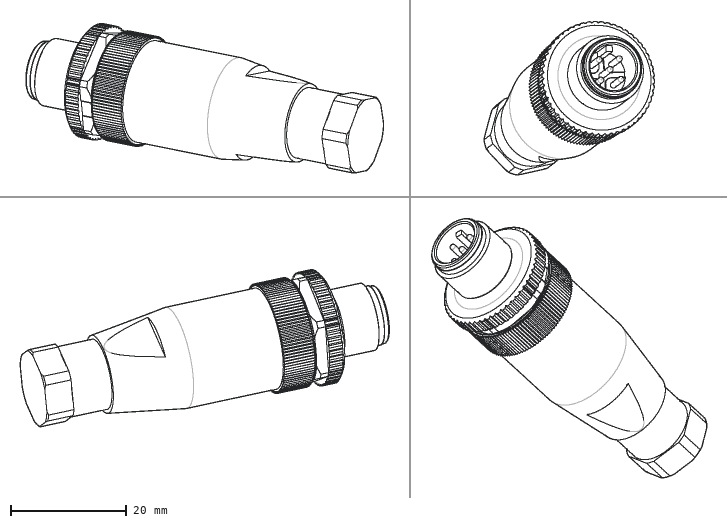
import cadquery as cq
import math

length = 64.1

sleeve_radius = 12.0 / 2
collar_radius = 10.6 / 2
lip_radius = 10.3 / 2
lip_end = 1.0
collar_end = 2.05
sleeve_end = 8.9
edge_chamfer = 0.25
neck_radius = 5.65

bore_radius = 8.3 / 2
bore_depth = 7.7
bore_chamfer = 0.25
carrier_turn = -5.0
pin_radius = 1.0 / 2
pin_circle_radius = 2.55
first_pin_angle = 45.0
pin_start = 1.7
pin_tip_fillet = 0.45
channel_width = 0.95
channel_depth = 0.5
channel_corner_radius = 1.0
key_width = 1.15
key_height = 1.1
key_start = 1.65

nut_start = 9.9
nut_radius = 20.2 / 2
nut_face_radius = 9.3
nut_chamfer_length = 0.65
flare_mid = (9.6, 6.4)
flare_radius = 7.45
flange_end = 12.95
flange_teeth = 54
flange_tooth_depth = 0.25
flange_crest_share = 0.4
nut_hex_end = 15.05
nut_hex_apothem = 8.88
nut_hex_corner_radius = 9.95
nut_hex_chamfer_length = 0.7
nut_hex_chamfer_depth = 0.65
nut_hex_turn = 100.0
mark_width = 3.0
mark_depth = 0.1

gap_radius = 9.15
ring_start = 15.4
ring_end = 21.15
ring_radius = 9.75
ring_teeth = 108
ring_tooth_depth = 0.3
ring_crest_share = 0.0
ring_chamfer = 0.25
body_radius = 18.0 / 2
taper_start = 37.75
taper_end = 51.85
taper_end_radius = 13.9 / 2

flat_start = 42.0
flat_distance = 7.0
flat_turn = 75.0

shank_radius = 12.5 / 2
clamp_start = 59.15
clamp_apothem = 6.5
clamp_corner_radius = 7.05
clamp_chamfer = 0.25
clamp_turn = 105.0

overlap = 0.3


def section_plane(x):
    """Plane across the axis: local x is +Y, local y is +Z, extrusions run toward +X."""
    return cq.Workplane("YZ", origin=(x, 0, 0))


def revolve_about_axis(outline):
    return outline.close().revolve(360, (0, 0, 0), (1, 0, 0))


def lathe(points):
    """Solid of revolution about X from (x, radius) points, closed along the axis."""
    x_first = points[0][0]
    x_last = points[-1][0]
    return revolve_about_axis(cq.Workplane("XY").polyline([(x_first, 0), *points, (x_last, 0)]))


def knurled_bar(start, end, radius, teeth, depth, crest_share):
    """Straight-knurled bar with V grooves; a zero crest share gives sharp teeth."""
    pitch = 2 * math.pi / teeth
    half_crest = crest_share * pitch / 2
    points = []
    for i in range(teeth):
        crest = i * pitch
        corners = [(crest - half_crest, radius)]
        if half_crest > 0:
            corners.append((crest + half_crest, radius))
        corners.append((crest + pitch / 2, radius - depth))
        for angle, r in corners:
            points.append((r * math.cos(angle), r * math.sin(angle)))
    return section_plane(start).polyline(points).close().extrude(end - start)


def hex_bar(start, end, apothem, turn):
    """Hexagonal bar with one corner at the given angle from +Y toward +Z."""
    corner_diameter = 2 * apothem / math.cos(math.pi / 6)
    bar = section_plane(start).polygon(6, corner_diameter).extrude(end - start)
    return bar.rotate((0, 0, 0), (1, 0, 0), turn)


def make_sleeve():
    outline = (
        cq.Workplane("XY")
        .moveTo(0, 0)
        .lineTo(0, lip_radius - edge_chamfer)
        .lineTo(edge_chamfer, lip_radius)
        .lineTo(lip_end, lip_radius)
        .lineTo(lip_end, collar_radius)
        .lineTo(collar_end, collar_radius)
        .lineTo(collar_end + edge_chamfer, sleeve_radius)
        .lineTo(sleeve_end - edge_chamfer, sleeve_radius)
        .lineTo(sleeve_end, sleeve_radius - edge_chamfer)
        .lineTo(sleeve_end, neck_radius)
        .threePointArc(flare_mid, (nut_start, flare_radius))
        .lineTo(nut_start + overlap, flare_radius)
        .lineTo(nut_start + overlap, 0)
    )
    return revolve_about_axis(outline)


def make_index_mark():
    """Shallow recess along the middle of one flat of the coupling nut."""
    cutter_height = nut_hex_corner_radius - nut_hex_apothem + mark_depth
    return (
        section_plane(flange_end)
        .center(nut_hex_corner_radius - cutter_height / 2, 0)
        .rect(cutter_height, mark_width)
        .extrude(nut_hex_end - flange_end)
        .rotate((0, 0, 0), (1, 0, 0), nut_hex_turn + 90)
    )


def make_coupling_nut():
    knurl = knurled_bar(
        nut_start, flange_end, nut_radius, flange_teeth, flange_tooth_depth, flange_crest_share
    )
    flange_envelope = lathe([
        (nut_start, nut_face_radius),
        (nut_start + nut_chamfer_length, nut_radius),
        (flange_end, nut_radius),
    ])
    hex_start = nut_start + nut_chamfer_length
    hexagon = hex_bar(hex_start, nut_hex_end, nut_hex_apothem, nut_hex_turn)
    hex_envelope = lathe([
        (hex_start, nut_hex_corner_radius),
        (nut_hex_end - nut_hex_chamfer_length, nut_hex_corner_radius),
        (nut_hex_end, nut_hex_corner_radius - nut_hex_chamfer_depth),
    ])
    nut = knurl.intersect(flange_envelope).union(hexagon.intersect(hex_envelope))
    return nut.cut(make_index_mark())


def make_body():
    core = lathe([
        (nut_hex_end, gap_radius),
        (ring_start + overlap, gap_radius),
        (ring_start + overlap, body_radius),
        (taper_start, body_radius),
        (taper_end, taper_end_radius),
        (taper_end, shank_radius),
        (clamp_start + overlap, shank_radius),
    ])
    ring = knurled_bar(
        ring_start, ring_end, ring_radius, ring_teeth, ring_tooth_depth, ring_crest_share
    )
    ring_envelope = lathe([
        (ring_start, ring_radius - ring_chamfer),
        (ring_start + ring_chamfer, ring_radius),
        (ring_end, ring_radius),
    ])
    return core.union(ring.intersect(ring_envelope))


def make_flat_cutter():
    """Blocks that leave two parallel flats on the taper."""
    flat_length = taper_end - flat_start
    cutter_height = body_radius
    cutters = cq.Workplane("XY")
    for side in (1, -1):
        block = (
            section_plane(flat_start)
            .center(side * (flat_distance + cutter_height / 2), 0)
            .rect(cutter_height, 2 * body_radius)
            .extrude(flat_length)
        )
        cutters = cutters.add(block)
    return cutters.combine().rotate((0, 0, 0), (1, 0, 0), flat_turn)


def make_clamping_nut():
    hexagon = hex_bar(clamp_start, length, clamp_apothem, clamp_turn)
    envelope = lathe([
        (clamp_start, clamp_corner_radius),
        (length - clamp_chamfer, clamp_corner_radius),
        (length, clamp_corner_radius - clamp_chamfer),
    ])
    return hexagon.intersect(envelope)


def make_bore():
    return lathe([
        (0, bore_radius + bore_chamfer),
        (bore_chamfer, bore_radius),
        (bore_depth + channel_depth, bore_radius),
    ])


def make_carrier_pads():
    """Four quarter-round pads on the bore floor; the gaps between them form a cross."""
    pad_start = channel_width / 2
    pad_size = bore_radius + overlap
    disc = section_plane(bore_depth).circle(pad_size).extrude(channel_depth + overlap)
    pad = (
        section_plane(bore_depth)
        .center(pad_start, pad_start)
        .rect(pad_size, pad_size, centered=False)
        .extrude(channel_depth + overlap)
        .edges("|X and <Y and <Z")
        .fillet(channel_corner_radius)
        .intersect(disc)
    )
    pads = pad
    for quarter in range(1, 4):
        pads = pads.union(pad.rotate((0, 0, 0), (1, 0, 0), 90 * quarter))
    return pads.rotate((0, 0, 0), (1, 0, 0), carrier_turn)


def make_contacts():
    """Five pins and the polarising key, standing in the bore."""
    root = bore_depth + channel_depth + overlap
    pin_length = root - pin_start
    pins = (
        section_plane(pin_start)
        .polarArray(pin_circle_radius, first_pin_angle, 360, 4)
        .circle(pin_radius)
        .extrude(pin_length)
        .union(section_plane(pin_start).circle(pin_radius).extrude(pin_length))
        .faces("<X")
        .fillet(pin_tip_fillet)
    )
    key = (
        section_plane(key_start)
        .center(0, bore_radius + (overlap - key_height) / 2)
        .rect(key_width, key_height + overlap)
        .extrude(root - key_start)
    )
    return pins.union(key).rotate((0, 0, 0), (1, 0, 0), carrier_turn)


result = (
    make_sleeve()
    .union(make_coupling_nut())
    .union(make_body())
    .cut(make_flat_cutter())
    .union(make_clamping_nut())
    .cut(make_bore())
    .union(make_carrier_pads())
    .union(make_contacts())
)